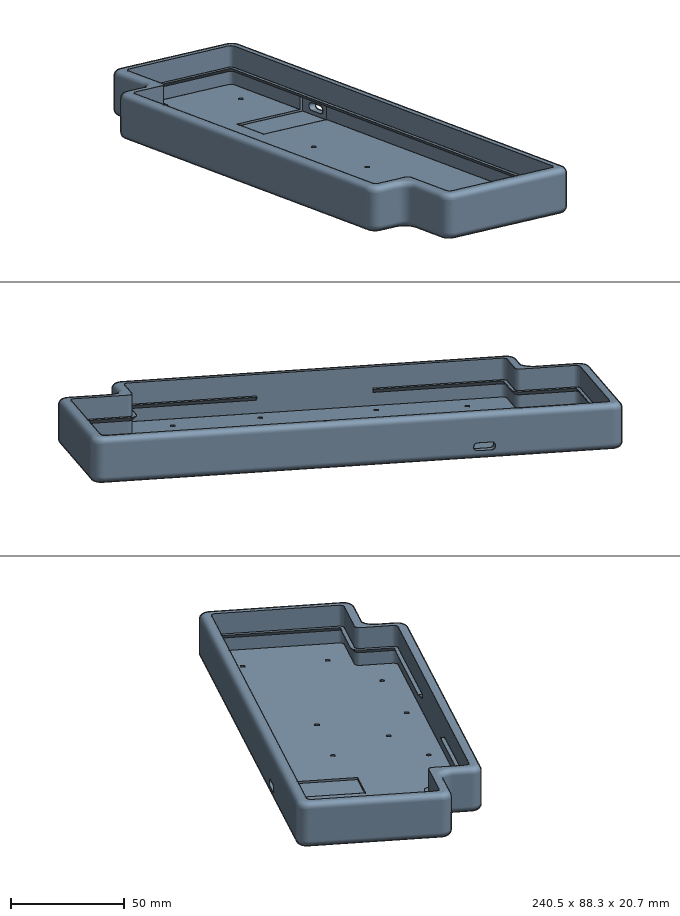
import cadquery as cq
length = 240.5
depth = 88.3
height = 20.7
notch_width = 28.6
notch_depth = 18.8
corner_radius = 5.0
edge_radius = 2.6

wall = 5.0
floor_thickness = 3.0
cavity_corner_radius = 2.2

lip_reach = 2.0
lip_top = 10.8
lip_gap_width = 53.0

pocket_width = 19.0
pocket_center_x = -57.0
pocket_front_y = 3.8
pocket_depth = 1.0
pocket_rear_recess = 1.5

opening_width = 9.9
opening_height = 3.5
opening_center_z = 5.5

key_pitch = 19.05
screw_diameter = 2.0
grid_holes_one_side = [(5, 1.5), (5, -0.5), (1, 0.5), (3.5, -1.5)]
front_hole_x = 26.2
front_hole_y = -32.0

lip_bottom = lip_top - lip_reach
cavity_rear_y = depth / 2 - wall
cavity_front_y = -cavity_rear_y


def rounded_tee(inset, radius, bottom, top):
    """Prism of the body outline moved inward by inset, with rounded upright edges."""
    half_rear = length / 2 - inset
    half_front = half_rear - notch_width
    rear = depth / 2 - inset
    front = -rear
    shoulder = front + notch_depth
    return (
        cq.Workplane("XY", origin=(0, 0, bottom))
        .moveTo(-half_rear, rear)
        .lineTo(half_rear, rear)
        .lineTo(half_rear, shoulder)
        .lineTo(half_front, shoulder)
        .lineTo(half_front, front)
        .lineTo(-half_front, front)
        .lineTo(-half_front, shoulder)
        .lineTo(-half_rear, shoulder)
        .close()
        .extrude(top - bottom)
        .edges("|Z")
        .fillet(radius)
    )


def box(center_x, width, front, rear, bottom, top):
    return (
        cq.Workplane("XY", origin=(center_x, front, bottom))
        .box(width, rear - front, top - bottom, centered=(True, False, False))
    )


def make_shell():
    block = rounded_tee(0, corner_radius, 0, height)
    block = block.faces("<Z or >Z").edges().fillet(edge_radius)
    return block.cut(rounded_tee(wall, cavity_corner_radius, floor_thickness, height))


def make_lip():
    """Ring with a flat top and a 45 degree underside that meet in a sharp inner edge."""
    ring = rounded_tee(wall, cavity_corner_radius, lip_bottom, lip_top)
    inside = ring.faces("<Z").wires().toPending().extrude(lip_reach, combine=False, taper=45)
    ring = ring.cut(inside)
    return ring.cut(box(0, lip_gap_width, cavity_front_y, 0, lip_bottom, lip_top))


def make_pocket():
    return box(
        pocket_center_x,
        pocket_width,
        pocket_front_y,
        cavity_rear_y + pocket_rear_recess,
        floor_thickness - pocket_depth,
        lip_bottom,
    )


def make_connector_opening():
    return (
        cq.Workplane("XZ", origin=(pocket_center_x, depth / 2, opening_center_z))
        .slot2D(opening_width, opening_height)
        .extrude(depth / 2 - pocket_front_y)
    )


def make_screw_holes():
    points = [(0, -key_pitch)]
    for side in (-1, 1):
        points += [(side * column * key_pitch, row * key_pitch) for column, row in grid_holes_one_side]
        points.append((side * front_hole_x, front_hole_y))
    return cq.Workplane("XY").pushPoints(points).circle(screw_diameter / 2).extrude(floor_thickness)


result = (
    make_shell()
    .union(make_lip())
    .cut(make_pocket())
    .cut(make_connector_opening())
    .cut(make_screw_holes())
)